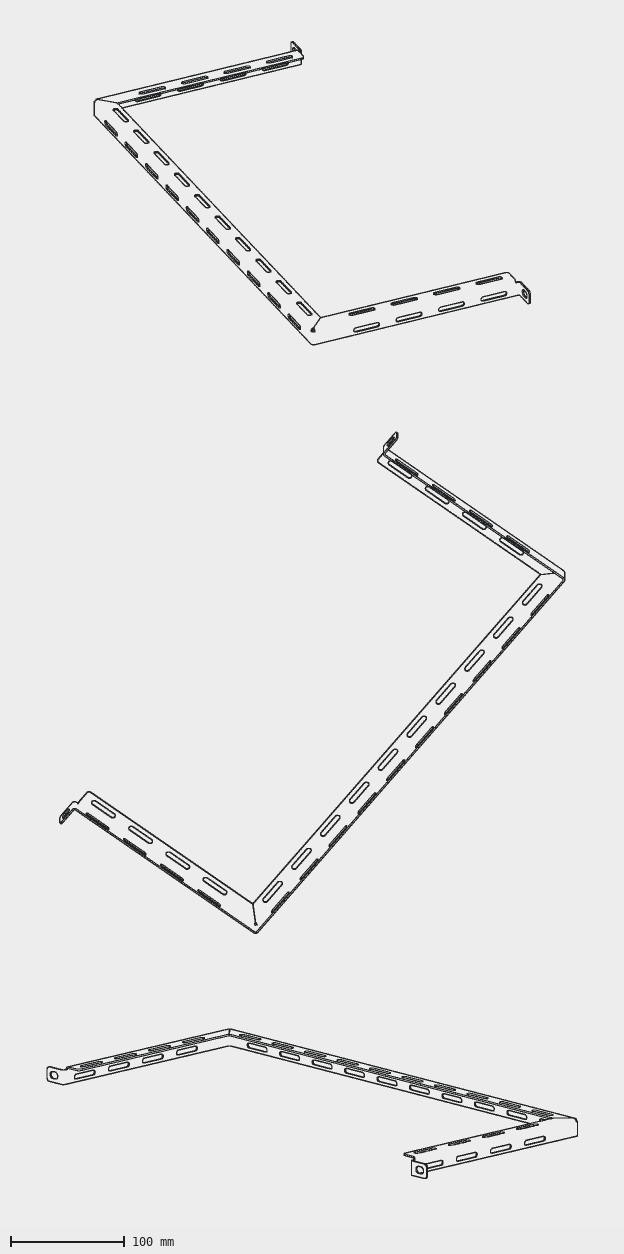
import cadquery as cq
import math

total_width = 482.5
depth = 203.0
height = 16.0

sheet = 1.5
bend_outer = 2.75
bend_inner = bend_outer - sheet
wall_top = height - bend_outer

frame_width = 444.0
half_frame = frame_width / 2
flange_width = 16.0
leg_flange_setback = 5.0
flange_corner_radius = 2.5
mitre_gap = 0.2
mitre_angle = 45

slot_length = 25.0
slot_width = 4.5
front_slot_span = 371.5
slot_wall_height = 5.0
slot_flange_inset = 9.5
front_slots = 10
leg_slots = 4
slot_pitch = front_slot_span / (front_slots - 1)
leg_slot_start = 53.0

ear_corner_radius = 3.0
ear_hole_spacing = 465.0
ear_hole_length = 9.5
ear_hole_width = 6.5

overcut = 5.0


def trough_solid(inset, bend_radius):
    """Block set in from the outer faces, rounded along the bends; open ends run past the sheet."""
    width = frame_width - 2 * inset
    block = cq.Workplane("XY").box(
        width, depth + overcut, height - inset + overcut, centered=(True, False, False)
    ).translate((0, inset, -overcut))
    block = block.edges("|Z and <Y").fillet(bend_radius)
    return block.faces(">Z").edges("not >Y").fillet(bend_radius)


def folded_frame():
    """Front and side walls with an inward flange along the top."""
    shell = trough_solid(0, bend_outer).cut(trough_solid(sheet, bend_inner))
    envelope = cq.Workplane("XY").box(
        total_width, depth - bend_outer, height, centered=(True, False, False)
    )
    opening = (
        cq.Workplane("XY")
        .box(frame_width - 2 * flange_width, depth, height, centered=(True, False, False))
        .translate((0, flange_width, 0))
    )
    return shell.intersect(envelope).cut(opening)


def flange_end_trim(side):
    """Material removed behind the leg flange, leaving its inner corner rounded."""
    end_y = depth - leg_flange_setback
    corner_y = end_y - flange_corner_radius
    flange_edge_x = half_frame - flange_width
    outer_x = side * (half_frame + overcut)
    inner_x = side * (flange_edge_x - overcut)
    return (
        cq.Workplane("XY", origin=(0, 0, wall_top))
        .moveTo(outer_x, end_y)
        .lineTo(side * (flange_edge_x + flange_corner_radius), end_y)
        .radiusArc((side * flange_edge_x, corner_y), -side * flange_corner_radius)
        .lineTo(inner_x, corner_y)
        .lineTo(inner_x, depth + overcut)
        .lineTo(outer_x, depth + overcut)
        .close()
        .extrude(bend_outer + overcut)
    )


def mitre_slit(side):
    """Narrow diagonal gap between front and leg flanges, with a square relief at the bend corner."""
    slit_length = flange_width / math.cos(math.radians(mitre_angle)) + overcut
    middle = flange_width / 2
    slit = (
        cq.Workplane("XY")
        .box(slit_length, mitre_gap, bend_outer, centered=(True, True, False))
        .rotate((0, 0, 0), (0, 0, 1), -side * mitre_angle)
        .translate((side * (half_frame - middle), middle, wall_top))
    )
    relief_center = half_frame - bend_outer / 2
    relief = (
        cq.Workplane("XY")
        .box(bend_outer, bend_outer, bend_outer, centered=(True, False, False))
        .translate((side * relief_center, 0, wall_top))
    )
    return slit.union(relief)


def mounting_ear(side):
    """Outward ear bent from the back end of a leg wall, with an oblong hole."""
    bend_start = depth - bend_outer
    inner_x = half_frame - sheet
    tip_x = total_width / 2
    ear = (
        cq.Workplane("XY")
        .moveTo(side * inner_x, bend_start)
        .radiusArc((side * (inner_x + bend_outer), depth), side * bend_outer)
        .lineTo(side * tip_x, depth)
        .lineTo(side * tip_x, depth - sheet)
        .lineTo(side * (inner_x + bend_outer), depth - sheet)
        .radiusArc((side * half_frame, bend_start), -side * bend_inner)
        .close()
        .extrude(wall_top)
    )
    tip = ">X" if side > 0 else "<X"
    ear = ear.faces(tip).edges("|Y").fillet(ear_corner_radius)
    hole = (
        cq.Workplane("XZ", origin=(side * ear_hole_spacing / 2, depth + overcut, wall_top / 2))
        .slot2D(ear_hole_length, ear_hole_width)
        .extrude(2 * overcut)
    )
    return ear.cut(hole)


def slot_cutter(plane, center, angle):
    """Round-ended slot tool centred on a sheet face."""
    return (
        cq.Workplane(plane, origin=center)
        .slot2D(slot_length, slot_width, angle)
        .extrude(overcut, both=True)
    )


result = folded_frame()

for side in (-1, 1):
    result = result.cut(flange_end_trim(side)).cut(mitre_slit(side)).union(mounting_ear(side))

for index in range(front_slots):
    slot_x = (index - (front_slots - 1) / 2) * slot_pitch
    result = result.cut(slot_cutter("XZ", (slot_x, 0, slot_wall_height), 0))
    result = result.cut(slot_cutter("XY", (slot_x, slot_flange_inset, height), 0))

for side in (-1, 1):
    for index in range(leg_slots):
        slot_y = leg_slot_start + index * slot_pitch
        wall_center = (side * half_frame, slot_y, slot_wall_height)
        flange_center = (side * (half_frame - slot_flange_inset), slot_y, height)
        result = result.cut(slot_cutter("YZ", wall_center, 0))
        result = result.cut(slot_cutter("XY", flange_center, 90))